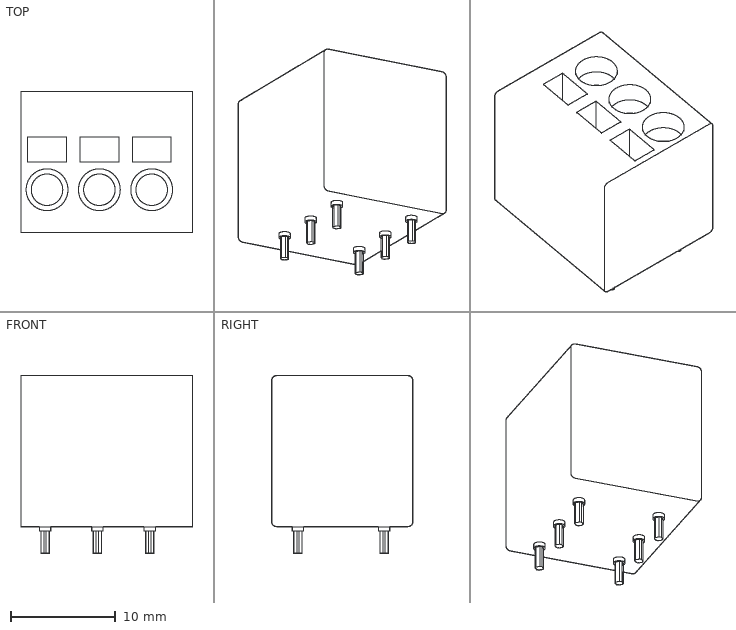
import cadquery as cq


POLE_COUNT = 3
POLE_PITCH = 5.0

TOTAL_HEIGHT = 17.0
HOUSING_LENGTH = 16.4
HOUSING_DEPTH = 13.5
HOUSING_HEIGHT = 14.45
EDGE_RADIUS = 0.5

WELL_X = 2.5
WELL_Y = 4.1
WELL_DIAMETER = 4.0
WELL_FLOOR_DIAMETER = 3.01
WELL_BORE_DEPTH = 2.0
WELL_TAPER_DEPTH = 1.3

SLOT_X = 2.5
SLOT_Y = 7.95
SLOT_LENGTH = 3.7
SLOT_WIDTH = 2.4
SLOT_DEPTH = 5.0

PIN_X = 2.31
PIN_ROW_FRONT_Y = 2.52
PIN_ROW_SPACING = 8.23
COLLAR_DIAMETER = 1.1
COLLAR_HEIGHT = 0.4
SHANK_WIDTH = 0.8
SHANK_CHAMFER = 0.29
PIN_LENGTH = TOTAL_HEIGHT - HOUSING_HEIGHT


def pole_positions(first_x):
    """X of a feature that repeats once per pole."""
    return [first_x + pole * POLE_PITCH for pole in range(POLE_COUNT)]


def well_cutter(x):
    """Solid of revolution that cuts one round well."""
    bore_radius = WELL_DIAMETER / 2
    floor_radius = WELL_FLOOR_DIAMETER / 2
    floor_depth = WELL_BORE_DEPTH + WELL_TAPER_DEPTH
    half_profile = (
        cq.Workplane("XZ")
        .moveTo(0, 0)
        .lineTo(bore_radius, 0)
        .lineTo(bore_radius, -WELL_BORE_DEPTH)
        .lineTo(floor_radius, -floor_depth)
        .lineTo(0, -floor_depth)
        .close()
    )
    return half_profile.revolve(360, (0, 0), (0, 1)).translate((x, WELL_Y, HOUSING_HEIGHT))


def slot_cutter(x):
    """Box that cuts one rectangular slot."""
    slot_box = cq.Workplane("XY").box(SLOT_LENGTH, SLOT_WIDTH, SLOT_DEPTH)
    return slot_box.translate((x, SLOT_Y, HOUSING_HEIGHT - SLOT_DEPTH / 2))


def make_housing():
    """Block with its four lengthwise edges rounded, and a well and a slot per pole."""
    block = cq.Workplane("XY").box(HOUSING_LENGTH, HOUSING_DEPTH, HOUSING_HEIGHT, centered=False)
    block = block.edges("|X").fillet(EDGE_RADIUS)
    for x in pole_positions(WELL_X):
        block = block.cut(well_cutter(x))
    for x in pole_positions(SLOT_X):
        block = block.cut(slot_cutter(x))
    return block


def make_pin(x, y):
    """One solder pin hanging from the underside of the housing."""
    collar = cq.Workplane("XY").circle(COLLAR_DIAMETER / 2).extrude(-COLLAR_HEIGHT)
    shank = (
        cq.Workplane("XY")
        .rect(SHANK_WIDTH, SHANK_WIDTH)
        .extrude(-PIN_LENGTH)
        .edges("|Z")
        .chamfer(SHANK_CHAMFER)
    )
    return collar.union(shank).translate((x, y, 0))


housing = make_housing()

pins = []
for row_y in (PIN_ROW_FRONT_Y, PIN_ROW_FRONT_Y + PIN_ROW_SPACING):
    for pin_x in pole_positions(PIN_X):
        pins.append(make_pin(pin_x, row_y).val())

result = cq.Compound.makeCompound([housing.val(), *pins])